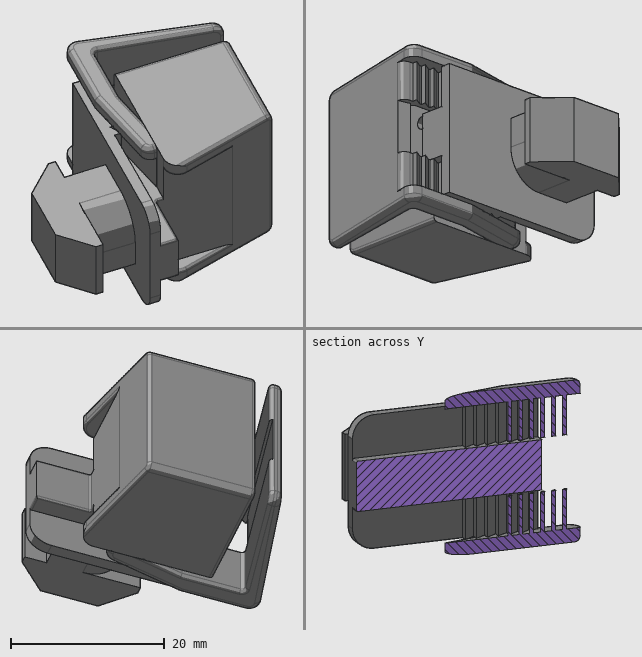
import cadquery as cq
import math

HALF_HEIGHT = 22.0 / 2
OVERALL_DEPTH = 32.2
PLATE_HALF_HEIGHT = 9.05

CLEARANCE = 0.32
SELECTION_MARGIN = 0.03

STEM_HALF_WIDTH = 5.0
STEM_CORNER_RADIUS = 4.95
FOOT_HALF_HEIGHT = 4.5
STEM_LENGTH = 5.8
HEAD_HALF_WIDTH = 8.0
HEAD_TIP_HALF_WIDTH = 4.0
HEAD_LIP = 1.0
HEAD_DEPTH = HEAD_LIP + HEAD_HALF_WIDTH - HEAD_TIP_HALF_WIDTH

PLATE_LEFT = -16.05
PLATE_RIGHT = 10.0
PLATE_THICKNESS = 1.48
PLATE_CORNER_RADIUS = 3.0
RIB_HALF_HEIGHT = 3.45
RIB_STEP_X = 2.5
RIB_STEP_Y = 3.95
RIB_EDGE_RADIUS = 0.25
RIB_STEP_RADIUS = 0.25
TOOTH_COUNT = 6
TOOTH_PITCH = 1.55
RACK_TOOTH_HEIGHT = 0.93
RACK_END_X = -5.47

BLOCK_LEFT = -14.05
BLOCK_FRONT = 5.0
BLOCK_BACK = 21.1
BLOCK_BACK_RIGHT = 0.8
BLOCK_SLANT = math.radians(15)
BLOCK_CORNER_RADIUS = 2.0
BLOCK_BACK_ROUND = 1.0
BLOCK_SIDE_ROUND = 0.5
FLANGE_INNER_ROUND = 0.4
BLOCK_HOLE_RADIUS = 0.87
BLOCK_HOLE_Y = 7.2
BLOCK_HOLE_Z = 3.48
BLOCK_HOLE_DEPTH = 3.85

LEVER_SLANT = math.radians(12)
PANEL_INNER_SLANT = math.radians(9.7)
ARM_FRONT = 1.0
ARM_BACK = 4.0
ARM_END_X = 0.45
ARM_FRONT_BEND_X = -10.9
ARM_BACK_BEND_X = -10.1
PANEL_OUTER_X = -21.85
PANEL_INNER_X = -18.83
PANEL_BACK = OVERALL_DEPTH - STEM_LENGTH - HEAD_DEPTH
PANEL_CORNER_RADIUS = 1.42
OUTER_CORNER_RADIUS = 1.5
INNER_CORNER_RADIUS = 0.5
ARM_END_RADIUS = 1.45
OUTER_EDGE_ROUND = 0.8
INNER_EDGE_ROUND = 0.5
WEB_FRONT = 3.2
WEB_CORNER_RADIUS = 1.03
WEB_TOOTH_TIP = 2.45
WEB_TOOTH_START_X = -19.57
WEB_TOOTH_RUN = 1.25
SLOT_HALF_HEIGHT = 3.67
SLOT_FRONT = 4.3
GROOVE_DEPTH = 0.4


def prism(points, half_height):
    """Closed XY outline extruded equally to both sides of z = 0."""
    return cq.Workplane("XY").polyline(points).close().extrude(half_height, both=True)


def slab(x_min, x_max, y_min, y_max, half_height):
    return prism([(x_min, y_min), (x_max, y_min), (x_max, y_max), (x_min, y_max)], half_height)


def near(x, y, reach=CLEARANCE / 2):
    """Selector for Z-parallel edges that stand at the point (x, y)."""
    return cq.selectors.BoxSelector((x - reach, y - reach, -reach), (x + reach, y + reach, reach))


def make_foot():
    stem = slab(-STEM_HALF_WIDTH, STEM_HALF_WIDTH, -STEM_LENGTH, 0, FOOT_HALF_HEIGHT)
    for side in (-1, 1):
        corner = (side * STEM_HALF_WIDTH, -STEM_LENGTH / 2, side * FOOT_HALF_HEIGHT)
        stem = stem.edges(cq.selectors.NearestToPointSelector(corner)).fillet(STEM_CORNER_RADIUS)
    lip_y = -STEM_LENGTH - HEAD_LIP
    tip_y = -STEM_LENGTH - HEAD_DEPTH
    head = prism(
        [
            (-HEAD_HALF_WIDTH, -STEM_LENGTH),
            (HEAD_HALF_WIDTH, -STEM_LENGTH),
            (HEAD_HALF_WIDTH, lip_y),
            (HEAD_TIP_HALF_WIDTH, tip_y),
            (-HEAD_TIP_HALF_WIDTH, tip_y),
            (-HEAD_HALF_WIDTH, lip_y),
        ],
        FOOT_HALF_HEIGHT,
    )
    return stem.union(head)


def make_plate():
    plate = slab(PLATE_LEFT, PLATE_RIGHT, 0, PLATE_THICKNESS, PLATE_HALF_HEIGHT)
    return plate.edges("|Y and >X").fillet(PLATE_CORNER_RADIUS)


def make_rib():
    rib = prism(
        [
            (PLATE_LEFT, 0),
            (PLATE_RIGHT, 0),
            (PLATE_RIGHT, RIB_STEP_Y),
            (RIB_STEP_X, RIB_STEP_Y),
            (RIB_STEP_X, BLOCK_FRONT),
            (PLATE_LEFT, BLOCK_FRONT),
        ],
        RIB_HALF_HEIGHT,
    )
    rib = rib.edges(near(RIB_STEP_X, RIB_STEP_Y)).fillet(RIB_STEP_RADIUS)
    stepped_end = cq.selectors.BoxSelector(
        (RIB_STEP_X - CLEARANCE, CLEARANCE, -HALF_HEIGHT),
        (PLATE_RIGHT + CLEARANCE, BLOCK_FRONT - CLEARANCE, HALF_HEIGHT),
    )
    return rib.faces("|Z").edges(stepped_end).fillet(RIB_EDGE_RADIUS)


def make_rack():
    """Saw teeth on the back of the plate: each ramps up towards +X and drops square."""
    crest_y = PLATE_THICKNESS + RACK_TOOTH_HEIGHT
    start_x = RACK_END_X - TOOTH_COUNT * TOOTH_PITCH
    points = [(start_x, 0), (start_x, PLATE_THICKNESS)]
    for i in range(1, TOOTH_COUNT + 1):
        crest_x = start_x + i * TOOTH_PITCH
        points += [(crest_x, crest_y), (crest_x, PLATE_THICKNESS)]
    points.append((RACK_END_X, 0))
    return prism(points, PLATE_HALF_HEIGHT)


def make_block():
    front_right = BLOCK_BACK_RIGHT + (BLOCK_BACK - BLOCK_FRONT) * math.tan(BLOCK_SLANT)
    block = prism(
        [
            (BLOCK_LEFT, BLOCK_FRONT),
            (front_right, BLOCK_FRONT),
            (BLOCK_BACK_RIGHT, BLOCK_BACK),
            (BLOCK_LEFT, BLOCK_BACK),
        ],
        HALF_HEIGHT,
    )
    rounded_corner = block.edges(near(front_right, BLOCK_FRONT)).fillet(BLOCK_CORNER_RADIUS)
    block = block.faces(">Y").edges("|X").fillet(BLOCK_BACK_ROUND)
    slanted_side = cq.Vector(math.cos(BLOCK_SLANT), math.sin(BLOCK_SLANT), 0)
    for side in (cq.Vector(-1, 0, 0), slanted_side):
        side_face = block.faces(cq.selectors.DirectionMinMaxSelector(side))
        block = side_face.edges("not <Y").fillet(BLOCK_SIDE_ROUND)
    block = block.intersect(rounded_corner)
    recess = slab(RIB_STEP_X, front_right, BLOCK_FRONT, BLOCK_BACK, PLATE_HALF_HEIGHT)
    block = block.cut(recess)
    rim_height = PLATE_HALF_HEIGHT + SELECTION_MARGIN
    flange_rims = cq.selectors.BoxSelector(
        (RIB_STEP_X + SELECTION_MARGIN, BLOCK_FRONT + SELECTION_MARGIN, -rim_height),
        (front_right, BLOCK_BACK, rim_height),
    )
    block = block.edges(flange_rims).edges("not |Z").fillet(FLANGE_INNER_ROUND)
    holes = (
        cq.Workplane("YZ", origin=(BLOCK_LEFT, 0, 0))
        .pushPoints([(BLOCK_HOLE_Y, BLOCK_HOLE_Z), (BLOCK_HOLE_Y, -BLOCK_HOLE_Z)])
        .circle(BLOCK_HOLE_RADIUS)
        .extrude(BLOCK_HOLE_DEPTH)
    )
    return block.cut(holes)


def make_body():
    body = make_plate().union(make_rib()).union(make_rack())
    return body.union(make_block()).union(make_foot()).clean()


def round_edges(solid, seeds, radius):
    """Round the edges whose midpoints lie nearest to the seed points."""
    selectors = [cq.selectors.NearestToPointSelector(seed) for seed in seeds]
    edges = [solid.edges(selector).val() for selector in selectors]
    return solid.newObject([solid.val().fillet(radius, edges)])


def panel_outer_x(y):
    return PANEL_OUTER_X + (y - ARM_FRONT) * math.tan(LEVER_SLANT)


def panel_inner_x(y):
    return PANEL_INNER_X + (y - ARM_BACK) * math.tan(PANEL_INNER_SLANT)


def make_lever_blank():
    """Full-height bent strip: panel and arms in one, with its edges rounded."""
    rise = math.tan(LEVER_SLANT)
    end_front = ARM_FRONT + (ARM_END_X - ARM_FRONT_BEND_X) * rise
    end_back = ARM_BACK + (ARM_END_X - ARM_BACK_BEND_X) * rise
    blank = prism(
        [
            (PANEL_OUTER_X, ARM_FRONT),
            (ARM_FRONT_BEND_X, ARM_FRONT),
            (ARM_END_X, end_front),
            (ARM_END_X, end_back),
            (ARM_BACK_BEND_X, ARM_BACK),
            (PANEL_INNER_X, ARM_BACK),
            (panel_inner_x(PANEL_BACK), PANEL_BACK),
            (panel_outer_x(PANEL_BACK), PANEL_BACK),
        ],
        HALF_HEIGHT,
    )
    blank = blank.edges(near(PANEL_OUTER_X, ARM_FRONT)).fillet(OUTER_CORNER_RADIUS)
    blank = blank.edges(near(PANEL_INNER_X, ARM_BACK)).fillet(INNER_CORNER_RADIUS)
    blank = blank.edges(near(ARM_END_X, end_front)).fillet(ARM_END_RADIUS)
    blank = blank.faces(">Y").edges("|X").fillet(PANEL_CORNER_RADIUS)

    bend_to_end = (ARM_END_X - ARM_FRONT_BEND_X) / 2
    arm_x = ARM_END_X - bend_to_end
    outer_seeds = [(panel_outer_x(PANEL_BACK), PANEL_BACK, 0)]
    inner_seeds = [(panel_inner_x(PANEL_BACK), PANEL_BACK, 0)]
    for z in (-HALF_HEIGHT, HALF_HEIGHT):
        outer_seeds.append((arm_x, ARM_FRONT + bend_to_end * rise, z))
        inner_seeds.append((arm_x, ARM_BACK + bend_to_end * rise, z))
    blank = round_edges(blank, outer_seeds, OUTER_EDGE_ROUND)
    return round_edges(blank, inner_seeds, INNER_EDGE_ROUND)


def make_arm_gap():
    """Space between the arms in front of the web, with the web's teeth left standing."""
    corner_x = panel_outer_x(WEB_FRONT)
    clear_y = ARM_FRONT - CLEARANCE
    web_end_y = WEB_TOOTH_TIP + (ARM_END_X - ARM_FRONT_BEND_X) * math.tan(LEVER_SLANT)
    rise_x = ARM_FRONT_BEND_X + (WEB_FRONT - WEB_TOOTH_TIP) / math.tan(LEVER_SLANT)
    clear_left = PANEL_OUTER_X - CLEARANCE
    clear_top = WEB_FRONT + 2 * WEB_CORNER_RADIUS
    points = [(clear_left, clear_y), (clear_left, clear_top)]
    points += [(panel_outer_x(clear_top), clear_top), (corner_x, WEB_FRONT)]
    for i in range(TOOTH_COUNT):
        tooth_x = WEB_TOOTH_START_X + i * TOOTH_PITCH
        points += [
            (tooth_x, WEB_FRONT),
            (tooth_x, WEB_TOOTH_TIP),
            (tooth_x + WEB_TOOTH_RUN, WEB_FRONT),
        ]
    clear_right = ARM_END_X + CLEARANCE
    points += [
        (rise_x, WEB_FRONT),
        (ARM_END_X, web_end_y),
        (clear_right, web_end_y),
        (clear_right, clear_y),
    ]
    gap = prism(points, PLATE_HALF_HEIGHT)
    return gap.edges(near(corner_x, WEB_FRONT)).fillet(WEB_CORNER_RADIUS)


def make_slot():
    """Central slot through the web, cut square to the panel and carried up its inside as a groove."""
    slot_back = PANEL_BACK + CLEARANCE
    slot_right = ARM_END_X + CLEARANCE
    slot_left = panel_outer_x(SLOT_FRONT)
    panel_width = panel_inner_x(SLOT_FRONT) - slot_left
    cut_length = panel_width * math.cos(LEVER_SLANT) - GROOVE_DEPTH
    cut_x = slot_left + cut_length * math.cos(LEVER_SLANT)
    cut_y = SLOT_FRONT - cut_length * math.sin(LEVER_SLANT)
    return prism(
        [
            (PANEL_OUTER_X, ARM_FRONT),
            (slot_right, ARM_FRONT),
            (slot_right, slot_back),
            (panel_inner_x(slot_back) - GROOVE_DEPTH, slot_back),
            (cut_x, cut_y),
            (slot_left, SLOT_FRONT),
        ],
        SLOT_HALF_HEIGHT,
    )


def make_lever(body):
    """Lever with its arms and web ending against the body's clip block."""
    lever = make_lever_blank().cut(make_arm_gap()).cut(make_slot())
    return lever.cut(body)


clip_body = make_body()
clip_lever = make_lever(clip_body)
result = cq.Compound.makeCompound([clip_body.solids().val(), clip_lever.solids().val()])